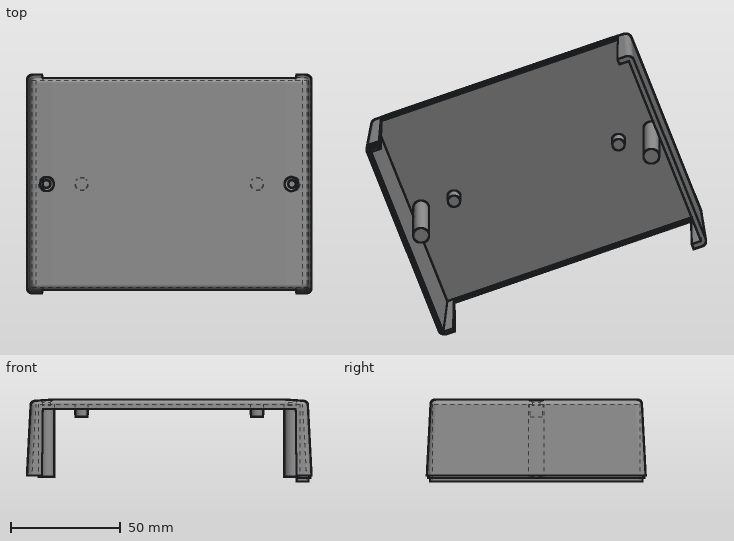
import cadquery as cq
import math

length = 130.0
width = 100.0
height = 37.5
rim_depth = 34.7
draft_angle = 3.0
draft_slope = math.tan(math.radians(draft_angle))

corner_radius = 2.9
top_radius = 2.2
strip_start = 53.3
strip_angle = 4.0
strip_slope = math.tan(math.radians(strip_angle))

wall = 2.3
frame_half_opening_top = 57.7
frame_half_opening_bottom = 58.1
frame_roof = 4.4
frame_inner_y = 47.3

tongue_steps = [(0.5, 35.8), (1.4, height)]

post_x = 56.0
post_diameter = 7.3
post_bottom = 35.4
countersink_diameter = 6.8
countersink_depth = 1.3
bore_diameter = 3.5
bore_depth = 2.7

peg_x = 40.0
peg_root_diameter = 6.2
peg_tip_diameter = 5.6
peg_bottom = 7.9

root_depth = wall / 2


def strip_waste(side):
    """Wedge above one end strip, which falls away towards the end wall."""
    start = side * strip_start
    end = side * length / 2
    drop = (length / 2 - strip_start) * strip_slope
    return (
        cq.Workplane("XZ", origin=(0, width / 2, 0))
        .polyline([(start, 0), (end, -drop), (end, drop), (start, drop)])
        .close()
        .extrude(width)
    )


def outer_block():
    """Solid cover with drafted sides, sloping end strips and rounded edges."""
    block = (
        cq.Workplane("XY", origin=(0, 0, -rim_depth))
        .rect(length, width)
        .extrude(rim_depth, taper=draft_angle)
    )
    for side in (-1, 1):
        block = block.cut(strip_waste(side))
    upright = cq.selectors.BoxSelector(
        (-length, -width, -0.75 * rim_depth), (length, width, -0.25 * rim_depth)
    )
    block = block.edges(upright).fillet(corner_radius)
    margin = 1.3
    near_top = cq.selectors.BoxSelector(
        (-length, -width, -margin), (length, width, margin)
    )
    strip_lines = cq.selectors.BoxSelector(
        (-strip_start - margin, -margin, -margin), (strip_start + margin, margin, margin)
    )
    return block.edges(near_top - strip_lines).fillet(top_radius)


def tongue_step(inset, bottom):
    """One step of the tongue, still filled between its end walls."""
    depth = bottom - rim_depth
    step = (
        cq.Workplane("XY", origin=(0, 0, -bottom))
        .rect(length - 2 * inset, width - 2 * inset)
        .extrude(depth)
        .edges("|Z")
        .fillet(corner_radius - inset)
    )
    keep = (
        cq.Workplane("XY", origin=(0, 0, -bottom))
        .rect(length, width)
        .extrude(depth)
        .translate((length / 2, 0, 0))
    )
    return step.intersect(keep)


def tunnel(half_top, half_bottom, roof, half_width):
    """Cavity below the roof, with side faces from half_top out to half_bottom."""
    return (
        cq.Workplane("XZ", origin=(0, half_width, 0))
        .polyline([
            (-half_top, -roof), (half_top, -roof),
            (half_bottom, -height), (-half_bottom, -height),
        ])
        .close()
        .extrude(2 * half_width)
    )


def post(x):
    return (
        cq.Workplane("XY", origin=(x, 0, -post_bottom))
        .circle(post_diameter / 2)
        .extrude(post_bottom - root_depth)
    )


def bore(x):
    return (
        cq.Workplane("XY", origin=(x, 0, -bore_depth))
        .circle(bore_diameter / 2)
        .extrude(bore_depth)
    )


def cone(x, top, top_diameter, bottom, bottom_diameter):
    """Upright tapered plug between two depths."""
    return cq.Workplane(obj=cq.Solid.makeCone(
        bottom_diameter / 2, top_diameter / 2, bottom - top, cq.Vector(x, 0, -bottom)
    ))


cover = outer_block()
for inset, bottom in tongue_steps:
    cover = cover.union(tongue_step(inset, bottom))

cover = cover.cut(
    tunnel(frame_half_opening_top, frame_half_opening_bottom, frame_roof, width / 2)
)
shell_half_top = length / 2 - rim_depth * draft_slope - wall
shell_half_bottom = shell_half_top + height * draft_slope
cover = cover.cut(tunnel(shell_half_top, shell_half_bottom, wall, frame_inner_y))

for side in (-1, 1):
    cover = cover.union(post(side * post_x))
    cover = cover.union(
        cone(side * peg_x, root_depth, peg_root_diameter, peg_bottom, peg_tip_diameter)
    )
for side in (-1, 1):
    cover = cover.cut(
        cone(side * post_x, 0, countersink_diameter, countersink_depth, bore_diameter)
    )
    cover = cover.cut(bore(side * post_x))

result = cover